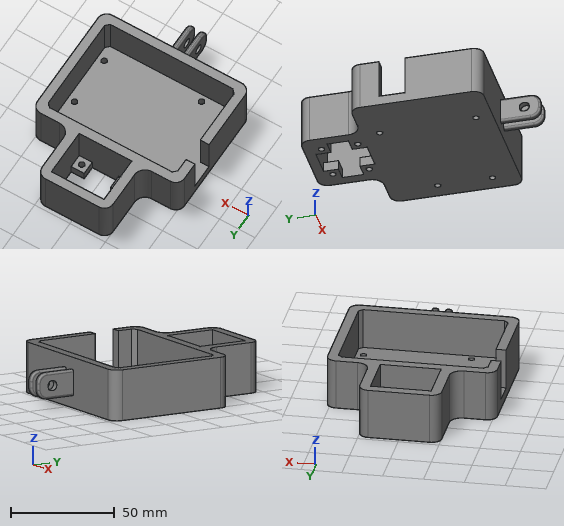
import cadquery as cq

tray_width = 83.3
tray_depth = 65.4
height = 25.0
wall = 5.0
floor_thickness = 5.0
corner_radius = 5.0
pocket_corner_chamfer = 2.0
screw_diameter = 3.0
board_screws = [(-17.8, 56.6), (-19.1, 8.5), (32.9, 40.7), (32.9, 13.4)]

slot_width = 13.0
slot_back_y = tray_depth - 14.5

bay_width = 40.2
bay_depth = 30.5
bay_wall_side = 5.2
bay_blend_radius = 6.0
pad_size = 7.4
pad_height = 5.0
window_width = bay_width - 2 * bay_wall_side
window_depth = bay_depth - wall
window_center_y = tray_depth + window_depth / 2

total_depth = 115.8
lug_length = total_depth - tray_depth - bay_depth
lug_height = 13.0
lug_thickness = 3.0
lug_gap = 3.6
lug_end_radius = 5.0
lug_edge_radius = 1.0
lug_hole_diameter = 5.0
lug_hole_distance = 11.9
lug_root_depth = 2.3


def block(width, depth, tall, x=0, y=0, z=0):
    """Box centred on x, with its front face at y and its underside at z."""
    return cq.Workplane("XY").box(width, depth, tall, centered=(True, False, False)).translate((x, y, z))


def make_body():
    """Solid outline of the tray and bay, with rounded vertical corners."""
    tray = block(tray_width, tray_depth, height).edges("|Z").fillet(corner_radius)
    bay = block(bay_width, bay_depth + wall, height, y=tray_depth - wall)
    bay = bay.edges("|Z and >Y").fillet(corner_radius)
    margin = 1.2
    blend_corners = cq.selectors.BoxSelector(
        (-bay_width / 2 - margin, tray_depth - margin, -margin),
        (bay_width / 2 + margin, tray_depth + margin, height + margin),
    )
    return tray.union(bay).edges("|Z").edges(blend_corners).fillet(bay_blend_radius)


def cut_tray(body):
    """Hollow the tray, open the cable slot and drill the board screw holes."""
    pocket = block(tray_width - 2 * wall, tray_depth - 2 * wall, height, y=wall, z=floor_thickness)
    pocket = pocket.edges("|Z").chamfer(pocket_corner_chamfer)
    slot = block(2 * wall, slot_width, height, -tray_width / 2, slot_back_y - slot_width, floor_thickness)
    holes = cq.Workplane("XY").pushPoints(board_screws).circle(screw_diameter / 2).extrude(floor_thickness)
    return body.cut(pocket).cut(slot).cut(holes)


def cut_bay(body):
    """Open the bay from top to bottom, leaving a drilled pad in each corner."""
    window = block(window_width, window_depth, height, y=tray_depth)
    centers = cq.Workplane("XY", origin=(0, window_center_y, 0)).rarray(
        window_width - pad_size, window_depth - pad_size, 2, 2
    )
    pads = centers.rect(pad_size, pad_size).extrude(pad_height)
    holes = centers.circle(screw_diameter / 2).extrude(pad_height)
    return body.cut(window.cut(pads)).cut(holes)


def make_lug(x):
    """Rounded plate centred on x, pointing forward, with a cross hole."""
    middle_z = height / 2
    plate_length = lug_length + lug_root_depth
    bottom_z = middle_z - lug_height / 2
    plate = block(lug_thickness, plate_length, lug_height, x, -lug_length, bottom_z)
    plate = plate.edges("|X and <Y").fillet(lug_end_radius)
    plate = plate.faces("<X or >X").edges("not >Y").fillet(lug_edge_radius)
    hole = (
        cq.Workplane("YZ", origin=(x, -lug_hole_distance, middle_z))
        .circle(lug_hole_diameter / 2)
        .extrude(lug_thickness, both=True)
    )
    return plate.cut(hole)


result = cut_bay(cut_tray(make_body()))
for side in (-1, 1):
    result = result.union(make_lug(side * (lug_gap + lug_thickness) / 2))